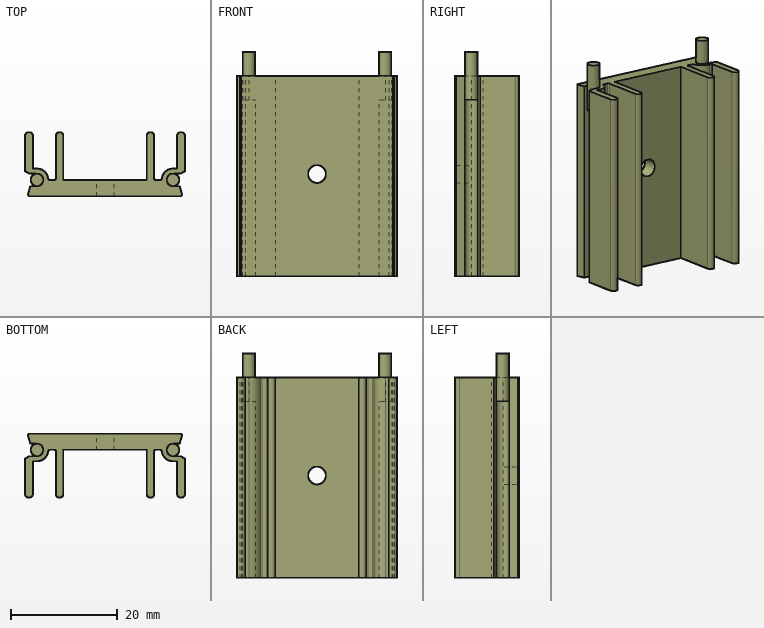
import cadquery as cq
import math

total_height = 42.0
width = 30.0
depth = 12.0
half_width = width / 2

pin_radius = 1.18
pin_length = 9.0
pin_protrusion = 4.5
pin_x = 12.73
pin_y = 3.05
body_height = total_height - pin_protrusion
groove_top = pin_y + pin_radius
groove_bottom = pin_y - pin_radius

floor_y = pin_y
base_half_width = 14.45
base_upper_half_width = 14.0
base_chamfer_width = 0.25
base_chamfer_height = 0.25

outer_fin_thickness = 1.55
outer_fin_bevel_width = 0.8
outer_fin_bevel_height = 0.45
arch_radius = 2.15

inner_fin_outer_x = 9.2
inner_fin_thickness = 1.43
channel_fillet = 0.25

hole_diameter = 3.28
hole_z = 19.15


def half_profile():
    """Closed outline of the +X half of the cross-section."""
    inner_fin_inner_x = inner_fin_outer_x - inner_fin_thickness
    inner_fin_radius = inner_fin_thickness / 2
    outer_fin_inner_x = half_width - outer_fin_thickness
    outer_fin_radius = outer_fin_thickness / 2
    diagonal = math.sqrt(0.5)
    arch_mid = (pin_x - arch_radius * diagonal, pin_y + arch_radius * diagonal)
    return (
        cq.Workplane("XY")
        .moveTo(0, 0)
        .lineTo(base_half_width - base_chamfer_width, 0)
        .lineTo(base_half_width, base_chamfer_height)
        .lineTo(base_upper_half_width, groove_bottom)
        .lineTo(pin_x, groove_bottom)
        .threePointArc((pin_x - pin_radius, pin_y), (pin_x, groove_top))
        .lineTo(half_width - outer_fin_bevel_width, groove_top)
        .lineTo(half_width, groove_top + outer_fin_bevel_height)
        .lineTo(half_width, depth - outer_fin_radius)
        .threePointArc(
            (half_width - outer_fin_radius, depth),
            (outer_fin_inner_x, depth - outer_fin_radius),
        )
        .lineTo(outer_fin_inner_x, pin_y + arch_radius)
        .lineTo(pin_x, pin_y + arch_radius)
        .threePointArc(arch_mid, (pin_x - arch_radius, floor_y))
        .lineTo(inner_fin_outer_x, floor_y)
        .lineTo(inner_fin_outer_x, depth - inner_fin_radius)
        .threePointArc(
            (inner_fin_outer_x - inner_fin_radius, depth),
            (inner_fin_inner_x, depth - inner_fin_radius),
        )
        .lineTo(inner_fin_inner_x, floor_y)
        .lineTo(0, floor_y)
        .close()
    )


def make_body():
    half = half_profile().extrude(body_height)
    for corner_x in (pin_x - arch_radius, inner_fin_outer_x):
        corner = cq.selectors.NearestToPointSelector((corner_x, floor_y, body_height / 2))
        half = half.edges("|Z").edges(corner).fillet(channel_fillet)
    return half.union(half.mirror("YZ"))


def make_pins():
    return (
        cq.Workplane("XY", origin=(0, 0, total_height - pin_length))
        .pushPoints([(-pin_x, pin_y), (pin_x, pin_y)])
        .circle(pin_radius)
        .extrude(pin_length)
    )


def make_hole():
    """Cutter passing through the base plate along Y."""
    return (
        cq.Workplane("XZ", origin=(0, 0, hole_z))
        .circle(hole_diameter / 2)
        .extrude(-floor_y)
    )


result = make_body().union(make_pins()).cut(make_hole())